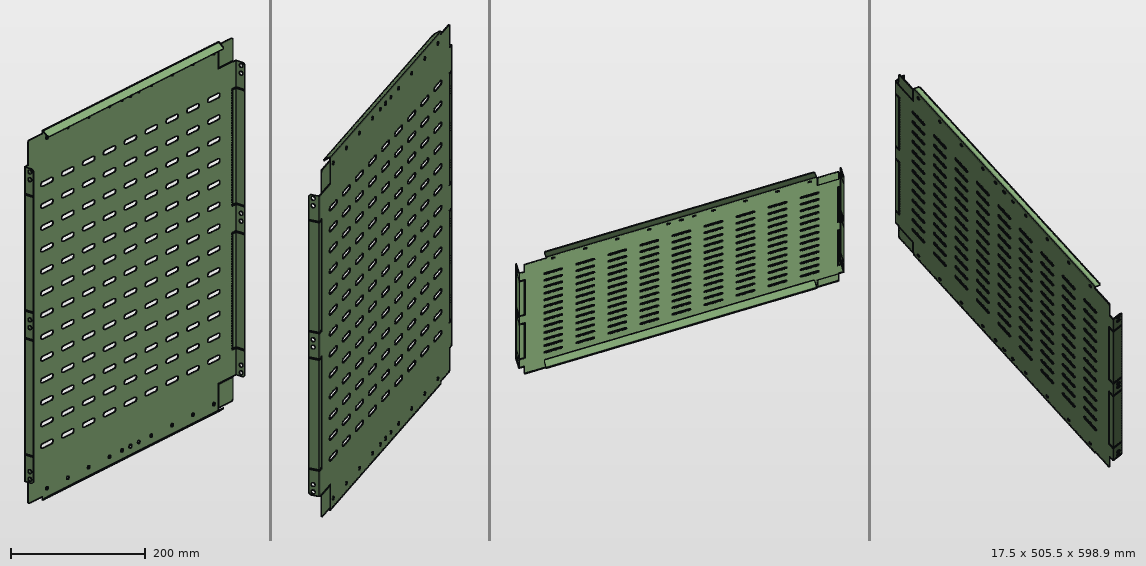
import cadquery as cq
import math

thickness = 1.5
bend_radius = thickness
width = 505.5
height = 598.93

side_flange_depth = 17.5
side_flange_length = 509.0
side_corner_chamfer = 3.0

end_flange_length = 420.0
end_flange_reach = 12.2
end_flange_slope = 38.0
end_corner_chamfer = 2.0

tab_half_width = 244.0
tab_top = 294.0
tab_corner_radius = 3.0
groove_width = 2.0
groove_depth = 0.3

slot_length = 29.0
slot_height = 7.5
slot_columns = 9
slot_rows = 13
slot_pitch_y = 49.75
slot_field_height = 424.0
slot_pitch_z = slot_field_height / (slot_rows - 1)

end_hole_z = 284.0
end_hole_diameter = 5.5
center_hole_diameter = 6.5
end_hole_offsets = [20.0] + [column * slot_pitch_y for column in range(1, slot_columns // 2 + 1)]

flange_hole_diameter = 6.5
flange_hole_x = 10.5
flange_hole_pair_pitch = 12.5
flange_hole_pair_centers = [242.5, 3.0, -242.5]

slit_width = 2.0
slit_inner_z = 21.5
slit_outer_z = 211.5
slit_inset = 9.25
slit_edge_bridge = 1.0

half_width = width / 2
half_height = height / 2
half_side_length = side_flange_length / 2
half_end_length = end_flange_length / 2
bend_start_z = half_height - bend_radius


def box(x_range, y_range, z_range):
    """Axis-aligned block between three pairs of limits."""
    size = [abs(high - low) for low, high in (x_range, y_range, z_range)]
    corner = [min(limits) for limits in (x_range, y_range, z_range)]
    return cq.Workplane("XY").box(*size, centered=False).translate(tuple(corner))


def corner_tabs():
    """Strip behind the end flanges whose four ends are the rounded corner tabs."""
    strip = box((0, thickness), (-tab_half_width, tab_half_width), (-tab_top, tab_top))
    return strip.edges("|X").fillet(tab_corner_radius)


def side_channel():
    """Sheet between the side flanges, with both flanges folded toward +X."""
    outside = box(
        (0, side_flange_depth), (-half_width, half_width), (-half_side_length, half_side_length)
    )
    outside = outside.edges("|Z and <X").fillet(bend_radius)
    outside = outside.edges("|Y and >X").chamfer(side_corner_chamfer)
    inside_half = half_width - thickness
    inside = box(
        (thickness, 2 * side_flange_depth), (-inside_half, inside_half), (-half_height, half_height)
    )
    return outside.cut(inside)


def end_flange():
    """Upper end of the sheet, rolled over and sloping down behind it."""
    slope = math.radians(end_flange_slope)
    bend_end = math.pi / 2 - slope
    bend_middle = (math.pi + bend_end) / 2

    def on_bend(angle):
        return (
            bend_radius * (1 + math.cos(angle)),
            bend_start_z + bend_radius * math.sin(angle),
        )

    run = end_flange_reach - on_bend(bend_end)[0]
    drop = run * math.tan(slope)
    profile = (
        cq.Workplane("XZ")
        .lineTo(0, bend_start_z)
        .threePointArc(on_bend(bend_middle), on_bend(bend_end))
        .line(run, -drop)
        .line(-thickness * math.cos(bend_end), -thickness * math.sin(bend_end))
        .lineTo(thickness, bend_start_z)
        .lineTo(thickness, 0)
        .close()
    )
    flange = profile.extrude(half_end_length, both=True)
    chamfer_start = end_flange_reach - end_corner_chamfer
    for side in (1, -1):
        corner = (
            cq.Workplane("XY")
            .moveTo(chamfer_start, side * half_end_length)
            .lineTo(end_flange_reach, side * half_end_length)
            .lineTo(end_flange_reach, side * (half_end_length - end_corner_chamfer))
            .close()
            .extrude(half_height)
        )
        flange = flange.cut(corner)
    return flange


def slot_field():
    """Cutters for the grid of ventilation slots."""
    return (
        cq.Workplane("YZ")
        .rarray(slot_pitch_y, slot_pitch_z, slot_columns, slot_rows)
        .slot2D(slot_length, slot_height)
        .extrude(thickness)
    )


def end_holes():
    """Cutters for the row of round holes near each end of the sheet."""
    offsets = [side * offset for offset in end_hole_offsets for side in (1, -1)]
    rows = (end_hole_z, -end_hole_z)
    small = (
        cq.Workplane("YZ")
        .pushPoints([(y, z) for y in offsets for z in rows])
        .circle(end_hole_diameter / 2)
        .extrude(thickness)
    )
    central = (
        cq.Workplane("YZ")
        .pushPoints([(0, z) for z in rows])
        .circle(center_hole_diameter / 2)
        .extrude(thickness)
    )
    return small.union(central)


def flange_holes():
    """Cutters through both side flanges for their hole pairs."""
    half_pitch = flange_hole_pair_pitch / 2
    points = [
        (flange_hole_x, center + shift)
        for center in flange_hole_pair_centers
        for shift in (half_pitch, -half_pitch)
    ]
    return (
        cq.Workplane("XZ")
        .pushPoints(points)
        .circle(flange_hole_diameter / 2)
        .extrude(half_width, both=True)
    )


def side_slits(side, half):
    """U-shaped slit: along the sheet, then around the bend and across the flange at both ends."""
    slit_y = side * (half_width - slit_inset)
    inner_edge = slit_y - side * slit_width / 2
    outer_edge = slit_y + side * slit_width / 2
    slits = box(
        (0, thickness), (inner_edge, outer_edge), (half * slit_inner_z, half * slit_outer_z)
    )
    for end, inward in ((slit_inner_z, 1), (slit_outer_z, -1)):
        cross_cut = box(
            (0, side_flange_depth - slit_edge_bridge),
            (inner_edge, side * half_width),
            (half * end, half * (end + inward * slit_width)),
        )
        slits = slits.union(cross_cut)
    return slits


def tab_groove(half):
    """Shallow L-shaped groove separating a +Y corner tab from the sheet."""
    groove_y = half_end_length + groove_width
    upright = box(
        (0, groove_depth),
        (half_end_length, groove_y),
        (half * half_side_length, half * tab_top),
    )
    level = box(
        (0, groove_depth),
        (half_end_length, tab_half_width),
        (half * half_side_length, half * (half_side_length + groove_width)),
    )
    return upright.union(level)


upper_flange = end_flange()
result = (
    side_channel()
    .union(corner_tabs())
    .union(upper_flange)
    .union(upper_flange.mirror("XY"))
)
result = result.cut(slot_field()).cut(end_holes()).cut(flange_holes())
for half in (1, -1):
    result = result.cut(tab_groove(half))
    for side in (1, -1):
        result = result.cut(side_slits(side, half))